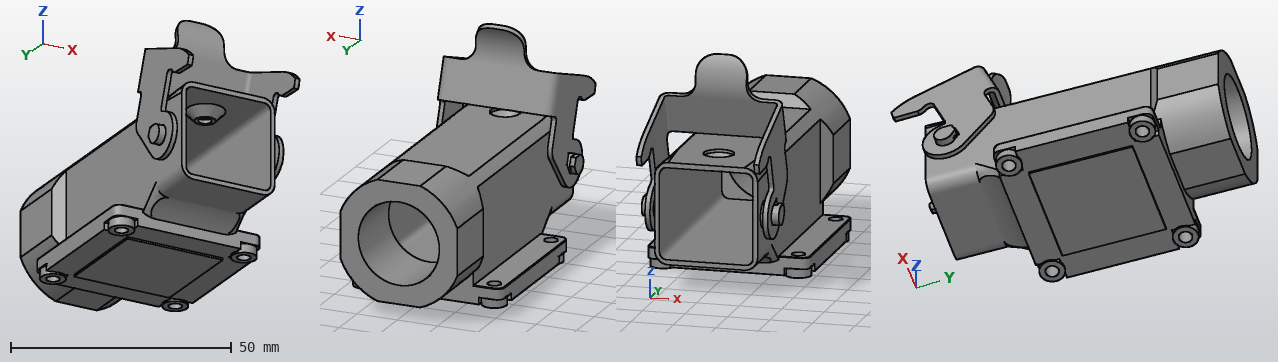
import cadquery as cq
import math


axis_z = 18.0
round_radius = 15.6

base_size = 38.0
base_front = 18.1
base_top = 4.9
base_corner = 1.9
base_edge_chamfer = 0.15
foot_height = 2.2
foot_radius = 2.95
foot_pocket = 5.6
pad_height = 0.5
pad_size = 24.8
screw_pitch = 31.8
screw_radius = 1.55

body_half = 12.1
body_top = 30.1
mouth_bottom = 6.1
mouth_corner = 3.1
mouth_length = 12.0
ramp_bottom = 3.1
ramp_mid_bottom = 5.15
ramp_corner_width = 3.35
ramp_corner_height = 1.0

cavity_half = 11.0
cavity_bottom = 7.25
cavity_top = 28.8
cavity_corner = 1.7
cavity_draft = 0.5
cavity_end = 53.5
bore_radius = 10.05

sleeve_half = 14.5
sleeve_half_height = 14.65
sleeve_end = 70.6

csk_y = 10.8
csk_radius = 3.5
csk_depth = 1.95
csk_rim_depth = 0.7
csk_hole_radius = 1.55
csk_boss_top_radius = 4.75
csk_boss_bottom_radius = 2.4
csk_boss_bottom = 26.5

pivot_y = 5.6
pin_end = 16.1
pin_radius = 2.25
pin_lug_length = 1.25
pin_lug_top = 1.95
pin_lug_reach = 2.8
pin_lug_low = 0.4
boss_radius = 3.2
boss_tip_radius = 2.6
boss_cone_length = 0.6

lever_tilt = 20.0
lever_half = 14.4
lever_thickness = 1.2
lever_bend = 2.1
lever_eye_radius = 5.5
lever_back = 16.6
lever_top = 20.1
bridge_bottom = 10.2
arm_back = 13.2
slot_back = 2.1
flank_corner_radius = 3.3
bridge_corner_radius = 1.2
slot_corner_radius = 0.7
slot_top = 14.25
eye_hole_radius = 2.3
eye_hole_lug = 3.2
eye_hole_lug_low = -0.4
eye_flank_angle = 31.0

hook_start = -0.5
hook_back_mid = (-4.1, 19.6)
hook_nose_top = (-7.0, 18.55)
hook_nose_mid = (-7.25, 17.45)
hook_nose_low = (-7.2, 16.2)
hook_throat = (-1.8, 14.5)
throat_mid = (-0.7, 14.65)
slot_roof = (0.3, 15.1)
slot_roof_mid = (1.4, 15.1)

tab_half = 6.0
tab_bend = 10.75
tab_reach = 9.0
tab_tip_radius = 4.8
tab_root_radius = 3.7

base_back = base_front + base_size
base_mid = base_front + base_size / 2
shoulder_x = math.sqrt(round_radius**2 - (body_top - axis_z)**2)
shoulder_z = axis_z + math.sqrt(round_radius**2 - body_half**2)
lever_inner = lever_half - lever_thickness
flank_slope = math.radians(eye_flank_angle)
flank_tangent = (lever_eye_radius * math.sin(flank_slope), -lever_eye_radius * math.cos(flank_slope))
flank_corner_up = flank_tangent[1] + (arm_back - flank_tangent[0]) * math.tan(flank_slope)


def block(x_half, y0, y1, z0, z1):
    """Box centred on X between the given Y and Z limits."""
    box = cq.Workplane("XY").box(2 * x_half, y1 - y0, z1 - z0, centered=(True, False, False))
    return box.translate((0, y0, z0))


def bulge(start, end, radius):
    """Middle point of the arc from start to end that bulges to the left of its chord."""
    dx = end[0] - start[0]
    dz = end[1] - start[1]
    chord = math.hypot(dx, dz)
    sagitta = radius - math.sqrt(radius**2 - chord**2 / 4)
    return (
        (start[0] + end[0]) / 2 - dz / chord * sagitta,
        (start[1] + end[1]) / 2 + dx / chord * sagitta,
    )


def mouth_section(loft, depth, top_corner, bottom, bottom_corner):
    """Add a housing section at the given depth; corners are (width, height, radius)."""
    top_w, top_h, top_r = top_corner
    low_w, low_h, low_r = bottom_corner
    top_side = (body_half, body_top - top_h)
    top_end = (body_half - top_w, body_top)
    low_side = (body_half, bottom + low_h)
    low_end = (body_half - low_w, bottom)

    def mirrored(point):
        return (-point[0], point[1])

    top_mid = bulge(mirrored(top_side), mirrored(top_end), top_r)
    low_mid = bulge(mirrored(low_end), mirrored(low_side), low_r)
    return (
        loft.workplane(offset=-depth)
        .moveTo(*mirrored(top_end))
        .lineTo(*top_end)
        .threePointArc(mirrored(top_mid), top_side)
        .lineTo(*low_side)
        .threePointArc(mirrored(low_mid), low_end)
        .lineTo(*mirrored(low_end))
        .threePointArc(low_mid, mirrored(low_side))
        .lineTo(*mirrored(top_side))
        .threePointArc(top_mid, mirrored(top_end))
        .close()
    )


def make_front():
    """Mouth of the housing, and the ramp that drops from it to the flange."""
    round_corner = (mouth_corner, mouth_corner, mouth_corner)
    shoulder = (body_half - shoulder_x, body_top - shoulder_z, round_radius)
    ramp_length = base_front - mouth_length
    ramp_drop = mouth_bottom - ramp_bottom
    corner_radius = (ramp_corner_width**2 + ramp_corner_height**2) / (2 * ramp_corner_height)
    ramp_corner = (ramp_corner_width, ramp_corner_height, corner_radius)

    mouth = mouth_section(cq.Workplane("XZ"), 0, round_corner, mouth_bottom, round_corner)
    mouth = mouth_section(mouth, mouth_length, shoulder, mouth_bottom, round_corner).loft(ruled=True)
    start = cq.Workplane("XZ", origin=(0, mouth_length, 0))
    ramp = mouth_section(start, 0, shoulder, mouth_bottom, round_corner)
    ramp = mouth_section(ramp, ramp_length, shoulder, ramp_bottom, ramp_corner).loft(ruled=True)
    hollow = (
        cq.Workplane("YZ", origin=(-body_half, 0, 0))
        .moveTo(mouth_length, mouth_bottom)
        .threePointArc((mouth_length + ramp_length / 2, ramp_mid_bottom), (base_front, ramp_bottom))
        .close()
        .extrude(2 * body_half)
    )
    return mouth.union(ramp.cut(hollow))


def make_rear_body():
    """Main body above the flange, with its upper edges rounded about the bore axis."""
    body = block(body_half, base_front, base_back, pad_height, body_top)
    cylinder = cq.Workplane("XZ", origin=(0, base_back, axis_z)).circle(round_radius).extrude(base_size)
    lower = block(body_half, base_front, base_back, pad_height, axis_z)
    return body.intersect(cylinder).union(lower)


def make_sleeve():
    """Cable entry: a cylinder with four flats that slope down onto the body."""
    slope_length = sleeve_half_height - (body_top - axis_z)
    slope_start = base_back - slope_length
    flats = cq.Workplane("XZ", origin=(0, sleeve_end, axis_z)).rect(2 * sleeve_half, 2 * sleeve_half_height)
    flats = flats.extrude(sleeve_end - base_back)
    small_width = 2 * (sleeve_half - slope_length)
    small_height = 2 * (sleeve_half_height - slope_length)
    slope = (
        cq.Workplane("XZ", origin=(0, base_back, axis_z))
        .rect(2 * sleeve_half, 2 * sleeve_half_height)
        .workplane(offset=slope_length)
        .rect(small_width, small_height)
        .loft(ruled=True)
    )
    cylinder = cq.Workplane("XZ", origin=(0, sleeve_end, axis_z)).circle(round_radius)
    cylinder = cylinder.extrude(sleeve_end - slope_start)
    return flats.union(slope).intersect(cylinder)


def make_base():
    """Square flange on four round feet, with a thin square pad under its middle."""
    centre = cq.Workplane("XY", origin=(0, base_mid, 0))
    feet = centre.rect(screw_pitch, screw_pitch, forConstruction=True).vertices()
    feet = feet.circle(foot_radius).extrude(foot_height)
    plate = block(base_size / 2, base_front, base_back, pad_height, base_top)
    plate = plate.edges("|Z").fillet(base_corner)
    plate = plate.faces(">Z").edges().chamfer(base_edge_chamfer)
    pocket_pitch = base_size - foot_pocket
    pockets = centre.rect(pocket_pitch, pocket_pitch, forConstruction=True).vertices()
    pockets = pockets.rect(foot_pocket, foot_pocket).extrude(foot_height)
    pad = centre.rect(pad_size, pad_size).extrude(foot_height)
    return plate.cut(pockets).union(pad).union(feet)


def cut_screw_holes(part):
    holes = (
        cq.Workplane("XY", origin=(0, base_mid, 0))
        .rect(screw_pitch, screw_pitch, forConstruction=True)
        .vertices()
        .circle(screw_radius)
        .extrude(base_top)
    )
    return part.cut(holes)


def cut_interior(part):
    """Rectangular contact cavity, and the round bore that leads out through the sleeve."""
    def outline(inset):
        height = cavity_top - cavity_bottom - 2 * inset
        return cq.Sketch().rect(2 * cavity_half, height).vertices().fillet(cavity_corner)

    cavity_mid = (cavity_top + cavity_bottom) / 2
    cavity = cq.Workplane("XZ", origin=(0, 0, cavity_mid)).placeSketch(
        outline(0), outline(cavity_draft).moved(cq.Location(cq.Vector(0, 0, -cavity_end)))
    ).loft()
    bore = cq.Workplane("XZ", origin=(0, sleeve_end, axis_z)).circle(bore_radius)
    bore = bore.extrude(sleeve_end - mouth_length)
    return part.cut(cavity).cut(bore)


def add_top_screw(part):
    """Countersunk hole through the roof, in a tapered boss that hangs into the cavity."""
    def cone(low_radius, high_radius, low_z, high_z):
        return cq.Workplane(
            cq.Solid.makeCone(low_radius, high_radius, high_z - low_z, cq.Vector(0, csk_y, low_z))
        )

    boss = cone(csk_boss_bottom_radius, csk_boss_top_radius, csk_boss_bottom, cavity_top)
    sink_top = body_top - csk_rim_depth
    sink = cone(csk_hole_radius, csk_radius, sink_top - csk_depth, sink_top)
    rim = cq.Workplane("XY", origin=(0, csk_y, sink_top)).circle(csk_radius).extrude(csk_rim_depth)
    hole = cq.Workplane("XY", origin=(0, csk_y, csk_boss_bottom)).circle(csk_hole_radius)
    hole = hole.extrude(body_top - csk_boss_bottom)
    return part.union(boss).cut(sink).cut(rim).cut(hole)


def teardrop(plane, radius, corner, shoulder):
    """Closed outline of a circle with a cornered lug on its +Y side."""
    distance = math.hypot(*shoulder)
    tangent_angle = math.atan2(shoulder[1], shoulder[0]) - math.acos(radius / distance)
    tangent = (radius * math.cos(tangent_angle), radius * math.sin(tangent_angle))
    return (
        plane.moveTo(0, radius)
        .lineTo(*corner)
        .lineTo(*shoulder)
        .lineTo(*tangent)
        .threePointArc((-radius, 0), (0, radius))
        .close()
    )


def make_pins():
    """Pivot pin on the left side with its tapered boss, and the mirrored one on the right."""
    plane = cq.Workplane("YZ", origin=(-pin_end, pivot_y, axis_z))
    pin = plane.circle(pin_radius).extrude(pin_end - body_half)
    lug_corner = (pin_lug_top, pin_radius)
    lug_end = (pin_lug_reach, pin_lug_low)
    lug = teardrop(plane, pin_radius, lug_corner, lug_end).extrude(pin_lug_length)
    boss = cq.Workplane("YZ", origin=(-lever_inner, pivot_y, axis_z)).circle(boss_tip_radius)
    boss = boss.extrude(lever_inner - body_half)
    cone = cq.Solid.makeCone(
        boss_radius, boss_tip_radius, boss_cone_length,
        cq.Vector(-body_half, pivot_y, axis_z), cq.Vector(-1, 0, 0),
    )
    left = pin.union(lug).union(boss).union(cq.Workplane(cone))
    return left.union(left.mirror("YZ"))


def round_corner(shape, back, up, radius):
    """Round the crosswise lever edge nearest the given distances behind and above the pivot."""
    return shape.edges(cq.selectors.NearestToPointSelector((0, back, up))).fillet(radius)


def lever_outline():
    """Side shape of the lever about its pivot: first coordinate backward, second along the lever."""
    return (
        cq.Workplane("YZ", origin=(-lever_half, 0, 0))
        .moveTo(lever_back, bridge_bottom)
        .lineTo(lever_back, lever_top)
        .lineTo(hook_start, lever_top)
        .threePointArc(hook_back_mid, hook_nose_top)
        .threePointArc(hook_nose_mid, hook_nose_low)
        .lineTo(*hook_throat)
        .threePointArc(throat_mid, slot_roof)
        .threePointArc(slot_roof_mid, (slot_back, slot_top))
        .lineTo(slot_back, lever_eye_radius)
        .lineTo(0, lever_eye_radius)
        .threePointArc((-lever_eye_radius, 0), flank_tangent)
        .lineTo(arm_back, flank_corner_up)
        .lineTo(arm_back, bridge_bottom)
        .close()
    )


def tab_strip(half_width):
    """Curled strip that rises from the bridge."""
    outer_bend = tab_bend - lever_thickness
    sweep = math.asin(tab_reach / tab_bend)
    centre_back = lever_back + outer_bend

    def on_bend(radius, angle):
        return (centre_back - radius * math.cos(angle), lever_top + radius * math.sin(angle))

    return (
        cq.Workplane("YZ", origin=(-half_width, 0, 0))
        .moveTo(*on_bend(tab_bend, 0))
        .threePointArc(on_bend(tab_bend, sweep / 2), on_bend(tab_bend, sweep))
        .lineTo(*on_bend(outer_bend, sweep))
        .threePointArc(on_bend(outer_bend, sweep / 2), on_bend(outer_bend, 0))
        .close()
        .extrude(2 * half_width)
    )


def make_tab():
    """Thumb tab with a rounded tip and a flared root."""
    blade = tab_strip(tab_half)
    blade = blade.faces(">Z").edges("not |X").fillet(tab_tip_radius)
    flare_half = tab_half + tab_root_radius
    flare_top = lever_top + tab_root_radius
    reach = 2 * lever_back
    flare = block(flare_half, 0, reach, lever_top, flare_top)
    scallops = cq.Workplane("XZ", origin=(0, reach, flare_top))
    scallops = scallops.pushPoints([(-flare_half, 0), (flare_half, 0)]).circle(tab_root_radius).extrude(reach)
    return blade.union(tab_strip(flare_half).intersect(flare.cut(scallops)))


def tilt(shape):
    """Lean a shape built about the pivot forward, and move it onto the pivot."""
    return shape.rotate((0, 0, 0), (1, 0, 0), lever_tilt).translate((0, pivot_y, axis_z))


def make_lever():
    """Locking lever: a bent sheet strap with two hooked arms and a thumb tab."""
    sides = lever_outline().extrude(2 * lever_half)
    sides = round_corner(sides, arm_back, flank_corner_up, flank_corner_radius)
    sides = round_corner(sides, arm_back, bridge_bottom, bridge_corner_radius)
    sides = round_corner(sides, slot_back, lever_eye_radius, slot_corner_radius)
    reach = 2 * lever_back
    outer = block(lever_half, -reach, lever_back, -reach, reach).edges("|Z and >Y").fillet(lever_bend)
    inner = block(lever_inner, -reach, lever_back - lever_thickness, -reach, reach)
    inner = inner.edges("|Z and >Y").fillet(lever_bend - lever_thickness)
    lug_corner = (eye_hole_lug, eye_hole_radius)
    lug_end = (eye_hole_lug, eye_hole_lug_low)
    eye = teardrop(cq.Workplane("YZ", origin=(-reach, 0, 0)), eye_hole_radius, lug_corner, lug_end)
    eye = eye.extrude(2 * reach)
    strap = sides.intersect(outer).cut(inner).cut(eye)
    return tilt(strap.union(make_tab()))


housing = make_front().union(make_rear_body()).union(make_sleeve()).union(make_base())
housing = add_top_screw(cut_interior(cut_screw_holes(housing)))
result = housing.union(make_pins()).union(make_lever())